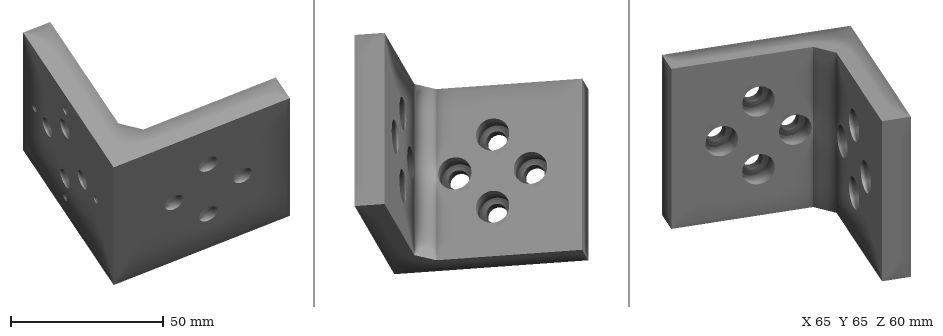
import cadquery as cq
import math

leg_length = 65.0
height = 60.0
thickness = 10.0
corner_chamfer = 6.1
pattern_from_end = 30.0
bolt_offset = 12.7
bolt_diameter = 6.9
counterbore_diameter = 11.2
counterbore_depth = 6.5
pin_offset = 22.05
pin_diameter = 3.0
pin_depth = 6.5
drill_point_angle = 118.0

inner_x = leg_length - thickness
middle_z = height / 2


def cross_positions(offset):
    """Four points on a cross around the pattern centre."""
    return [(offset, 0), (-offset, 0), (0, offset), (0, -offset)]


def angle_body():
    """L-shaped plate with its outer corner at +X, -Y."""
    return (
        cq.Workplane("XY")
        .moveTo(0, 0)
        .lineTo(leg_length, 0)
        .lineTo(leg_length, leg_length)
        .lineTo(inner_x, leg_length)
        .lineTo(inner_x, thickness + corner_chamfer)
        .lineTo(inner_x - corner_chamfer, thickness)
        .lineTo(0, thickness)
        .close()
        .extrude(height)
    )


def bolt_hole_cutter(face):
    """Through holes with counterbores, running inward from an inner leg face along its normal."""
    positions = cross_positions(bolt_offset)
    bolt_holes = face.pushPoints(positions).circle(bolt_diameter / 2).extrude(thickness)
    counterbores = face.pushPoints(positions).circle(counterbore_diameter / 2).extrude(counterbore_depth)
    return bolt_holes.union(counterbores)


def pin_hole_cutter():
    """One blind hole with a drill point, running along +Y from the origin."""
    radius = pin_diameter / 2
    point_length = radius / math.tan(math.radians(drill_point_angle / 2))
    return (
        cq.Workplane("XY")
        .polyline([(0, 0), (radius, 0), (radius, pin_depth), (0, pin_depth + point_length)])
        .close()
        .revolve(360, (0, 0, 0), (0, 1, 0))
    )


front_inner_face = cq.Workplane("XZ", origin=(pattern_from_end, thickness, middle_z))
side_inner_face = cq.Workplane("YZ", origin=(inner_x, leg_length - pattern_from_end, middle_z))
result = angle_body()
for inner_face in (front_inner_face, side_inner_face):
    result = result.cut(bolt_hole_cutter(inner_face))

for pin_x, pin_z in cross_positions(pin_offset):
    pin_position = (pattern_from_end + pin_x, 0, middle_z + pin_z)
    result = result.cut(pin_hole_cutter().translate(pin_position))